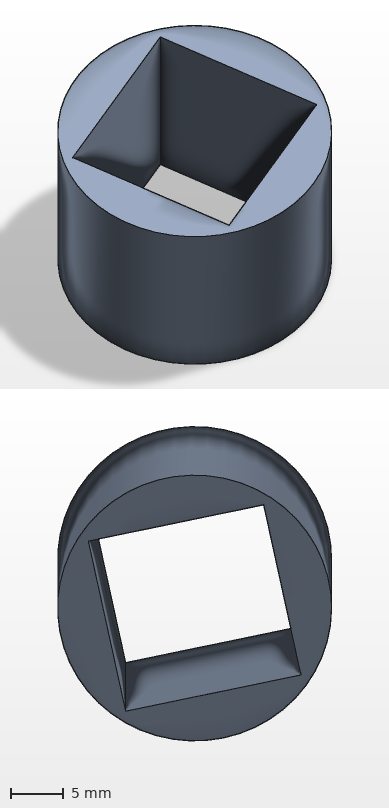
import cadquery as cq

outer_diameter = 26.0
height = 19.0
bore_side = 17.0

sleeve = cq.Workplane("XY").circle(outer_diameter / 2).extrude(height)

bore = cq.Workplane("XY").rect(bore_side, bore_side).extrude(height)

result = sleeve.cut(bore)